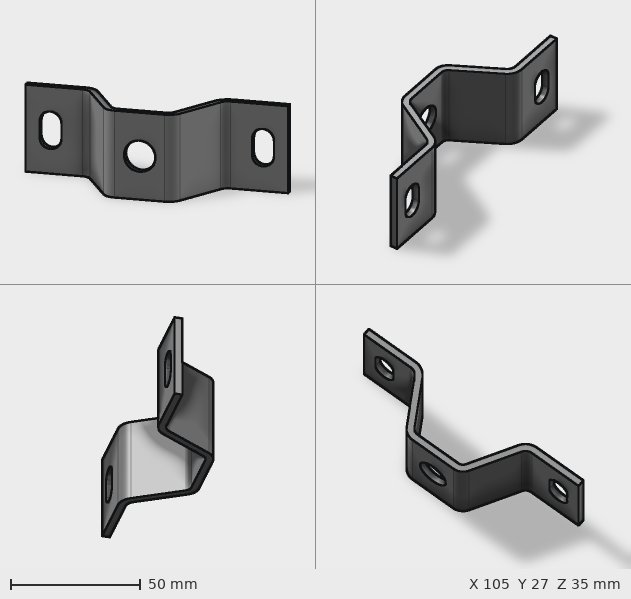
import cadquery as cq
import math

length = 105.0
depth = 27.0
height = 35.0

thickness = 3.0
pad_inner_radius = 3.0
pad_outer_radius = pad_inner_radius + thickness
flange_inner_radius = 4.0
flange_outer_radius = flange_inner_radius + thickness
bend_angle = math.radians(60)
bottom_flat = 20.0

centre_hole_diameter = 12.5
slot_width = 8.7
slot_length = 15.0
slot_spacing = 85.0

half_angle_tan = math.tan(bend_angle / 2)
pad_outer_x = bottom_flat / 2 + pad_outer_radius * half_angle_tan
pad_inner_x = pad_outer_x - thickness * half_angle_tan
leg_run = (depth - thickness) / math.tan(bend_angle)
flange_front_x = pad_outer_x + leg_run
flange_back_x = pad_inner_x + leg_run

pad_back_y = thickness
flange_front_y = depth - thickness


def mirrored_corners(x, y):
    return [(-x, y), (x, y)]


def fillet_bends(body, corners, radius):
    """Round the upright edges that pass through the given XY corners."""
    reach = thickness / 4
    for x, y in corners:
        selector = cq.selectors.BoxSelector(
            (x - reach, y - reach, -height), (x + reach, y + reach, height)
        )
        body = body.edges("|Z").edges(selector).fillet(radius)
    return body


right_outline = [
    (0, 0),
    (pad_outer_x, 0),
    (flange_front_x, flange_front_y),
    (length / 2, flange_front_y),
    (length / 2, depth),
    (flange_back_x, depth),
    (pad_inner_x, pad_back_y),
    (0, pad_back_y),
]
strip = (
    cq.Workplane("XY")
    .polyline(right_outline)
    .mirrorY()
    .extrude(height / 2, both=True)
)

strip = fillet_bends(strip, mirrored_corners(pad_outer_x, 0), pad_outer_radius)
strip = fillet_bends(strip, mirrored_corners(pad_inner_x, pad_back_y), pad_inner_radius)
strip = fillet_bends(strip, mirrored_corners(flange_front_x, flange_front_y), flange_inner_radius)
strip = fillet_bends(strip, mirrored_corners(flange_back_x, depth), flange_outer_radius)

centre_hole = cq.Workplane("XZ").circle(centre_hole_diameter / 2).extrude(-depth)

slots = (
    cq.Workplane("XZ")
    .pushPoints(mirrored_corners(slot_spacing / 2, 0))
    .slot2D(slot_length, slot_width, 90)
    .extrude(-depth)
)

result = strip.cut(centre_hole).cut(slots)